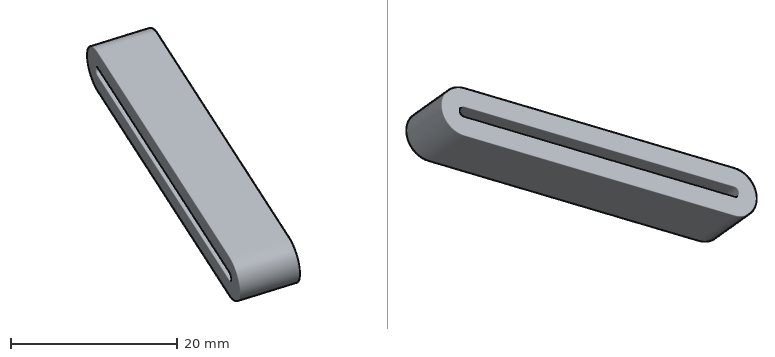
import cadquery as cq

LENGTH = 45.2
DEPTH = 8.0

WALL = 2.6
SLOT_HEIGHT = 1.3
SLOT_LENGTH = LENGTH - 2 * WALL
HEIGHT = SLOT_HEIGHT + 2 * WALL

EDGE_RADIUS = 0.1


def stadium(length, height):
    """Bar with fully rounded ends, centred on the origin and extruded along Y."""
    return cq.Workplane("XZ").slot2D(length, height).extrude(DEPTH / 2, both=True)


def make_loop():
    """Stadium-shaped loop with a concentric slot through its depth."""
    return stadium(LENGTH, HEIGHT).cut(stadium(SLOT_LENGTH, SLOT_HEIGHT))


def round_edges(loop):
    """Round every edge of the front and back faces."""
    return loop.faces("<Y or >Y").edges().fillet(EDGE_RADIUS)


result = round_edges(make_loop())